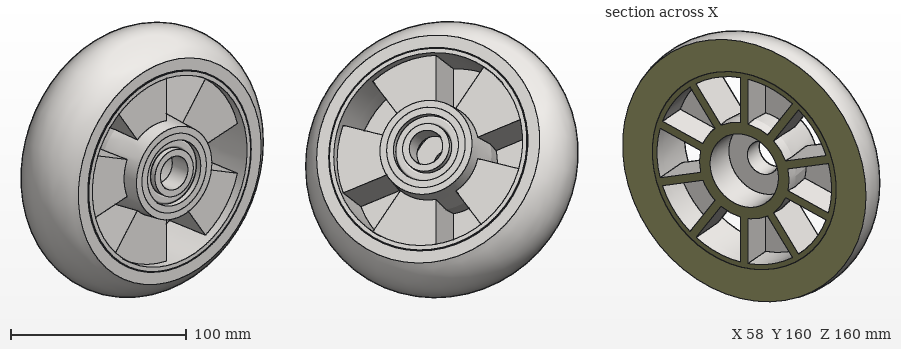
import cadquery as cq
import math

WHEEL_DIA = 160.0
TYRE_WIDTH = 50.0
TREAD_RADIUS = 30.0
HUB_WIDTH = 58.0

SEAT_DIA = 119.0
RIM_EDGE_DIA = 118.0
RIM_INNER_DIA = 113.0

BOSS_END_DIA = 55.0
BOSS_MIDDLE_DIA = 59.5

SECTOR_COUNT = 10
WEB_THICKNESS = 5.1
WEB_RECESS = 6.2

BEARING_DIA = 47.0
BEARING_WIDTH = 14.0
BEARING_BORE = 20.0
SHOULDER_BORE = 44.0
RACE_BORE = 38.9
SHIELD_OUTER_DIA = 36.2
SHIELD_INNER_DIA = 30.7
INNER_RING_DIA = 28.0
SHIELD_RECESS = 3.0
SHIELD_EDGE_RADIUS = 1.38

SIDES = (-1, 1)
HALF_TYRE = TYRE_WIDTH / 2
HALF_HUB = HUB_WIDTH / 2
RAISED_X = HALF_TYRE - WEB_RECESS
SUNK_DEPTH = 2 * RAISED_X - WEB_THICKNESS


def revolve_about_axle(profile):
    """Revolve a profile of (x, radius) points about the X axis."""
    return profile.close().revolve(360, (0, 0, 0), (1, 0, 0))


def make_tyre():
    crown = WHEEL_DIA / 2
    edge = crown - TREAD_RADIUS + math.sqrt(TREAD_RADIUS**2 - HALF_TYRE**2)
    seat = SEAT_DIA / 2
    profile = (
        cq.Workplane("XY")
        .moveTo(-HALF_TYRE, seat)
        .lineTo(-HALF_TYRE, edge)
        .threePointArc((0, crown), (HALF_TYRE, edge))
        .lineTo(HALF_TYRE, seat)
    )
    return revolve_about_axle(profile)


def make_boss():
    """Hub boss as two cones back to back, with its bore left solid."""
    profile = cq.Workplane("XY").polyline([
        (-HALF_HUB, 0),
        (-HALF_HUB, BOSS_END_DIA / 2),
        (0, BOSS_MIDDLE_DIA / 2),
        (HALF_HUB, BOSS_END_DIA / 2),
        (HALF_HUB, 0),
    ])
    return revolve_about_axle(profile)


def make_rim():
    """Outer ring of the core, chamfered at both ends of the tyre seat."""
    seat_chamfer = (SEAT_DIA - RIM_EDGE_DIA) / 2
    mid_plane = cq.Workplane("YZ")
    ring = mid_plane.circle(SEAT_DIA / 2).extrude(HALF_TYRE, both=True).faces("<X or >X").chamfer(seat_chamfer)
    bore = mid_plane.circle(RIM_INNER_DIA / 2).extrude(HALF_TYRE, both=True)
    return ring.cut(bore)


def make_sector_cutter():
    """Sunk sector around +Y, open on the -X side, inset half a web thickness from each radial plane."""
    half_angle = math.pi / SECTOR_COUNT
    apex = WEB_THICKNESS / 2 / math.sin(half_angle)
    reach = WHEEL_DIA / 2
    half_span = (reach - apex) * math.tan(half_angle)
    return (
        cq.Workplane("YZ", origin=(-RAISED_X, 0, 0))
        .polyline([(apex, 0), (reach, half_span), (reach, -half_span)])
        .close()
        .extrude(SUNK_DEPTH)
    )


def make_web():
    """Disc folded into sectors, its edge buried in the rim."""
    mid_rim_radius = (RIM_INNER_DIA + RIM_EDGE_DIA) / 4
    web = cq.Workplane("YZ", origin=(-RAISED_X, 0, 0)).circle(mid_rim_radius).extrude(2 * RAISED_X)
    sector_step = 360 / SECTOR_COUNT
    cutter = make_sector_cutter()
    for index in range(1, SECTOR_COUNT, 2):
        sunk = cutter.rotate((0, 0, 0), (1, 0, 0), index * sector_step)
        web = web.cut(sunk).cut(sunk.rotate((0, 0, 0), (0, 0, 1), 180))
    return web


def make_core():
    core = make_rim().union(make_web()).union(make_boss())
    core = core.cut(cq.Workplane("YZ").circle(SHOULDER_BORE / 2).extrude(HALF_HUB, both=True))
    for side in SIDES:
        core = core.cut(make_bearing_seat(side))
    return core


def make_bearing_seat(side):
    return (
        cq.Workplane("YZ", origin=(side * HALF_HUB, 0, 0))
        .circle(BEARING_DIA / 2)
        .extrude(-side * BEARING_WIDTH)
    )


def make_bearing(side):
    """Bearing flush with the boss end; side is -1 or +1 along X."""
    outer_x = side * HALF_HUB
    inner_x = side * (HALF_HUB - BEARING_WIDTH)
    ring_radius = INNER_RING_DIA / 2
    race_radius = RACE_BORE / 2
    shield_inner = SHIELD_INNER_DIA / 2
    shield_outer = SHIELD_OUTER_DIA / 2

    def rounded_edge(flat_radius, angle, direction):
        """Point on the shield rounding, at an angle from where it leaves the flat face."""
        depth = SHIELD_RECESS + SHIELD_EDGE_RADIUS * (1 - math.cos(angle))
        return (side * (HALF_HUB - depth), flat_radius + direction * SHIELD_EDGE_RADIUS * math.sin(angle))

    inner_sweep = math.asin((shield_inner - ring_radius) / SHIELD_EDGE_RADIUS)
    outer_sweep = math.asin((race_radius - shield_outer) / SHIELD_EDGE_RADIUS)
    profile = (
        cq.Workplane("XY")
        .moveTo(inner_x, BEARING_BORE / 2)
        .lineTo(outer_x, BEARING_BORE / 2)
        .lineTo(outer_x, ring_radius)
        .lineTo(*rounded_edge(shield_inner, inner_sweep, -1))
        .threePointArc(rounded_edge(shield_inner, inner_sweep / 2, -1), rounded_edge(shield_inner, 0, -1))
        .lineTo(*rounded_edge(shield_outer, 0, 1))
        .threePointArc(rounded_edge(shield_outer, outer_sweep / 2, 1), rounded_edge(shield_outer, outer_sweep, 1))
        .lineTo(outer_x, race_radius)
        .lineTo(outer_x, BEARING_DIA / 2)
        .lineTo(inner_x, BEARING_DIA / 2)
    )
    return revolve_about_axle(profile)


tyre = make_tyre()
core = make_core()
bearings = [make_bearing(side) for side in SIDES]

result = cq.Compound.makeCompound([
    tyre.val(),
    core.solids().val(),
    *[bearing.val() for bearing in bearings],
])